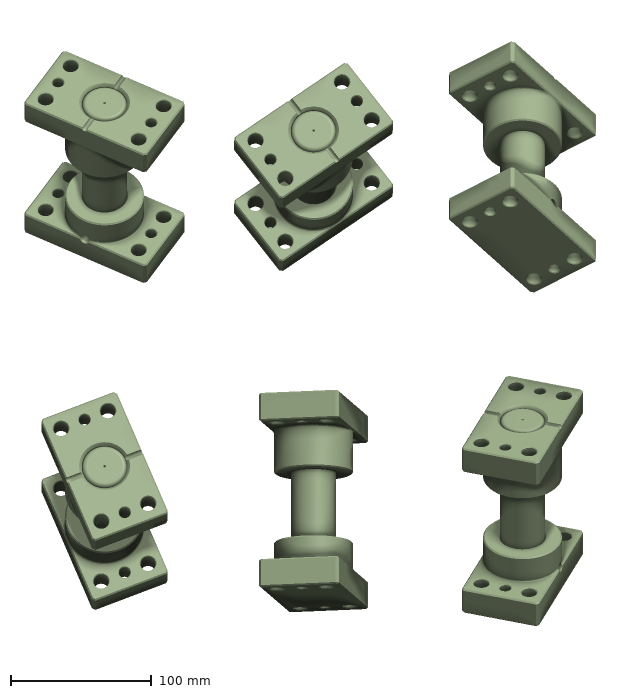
import cadquery as cq
import math

TOTAL_HEIGHT = 140.2
PLATE_LENGTH = 100.0
PLATE_WIDTH = 58.0

PLATE_THICKNESS = 20.0
EDGE_CHAMFER = 1.0
CORNER_CHAMFER = 2 * EDGE_CHAMFER

HUB_RADIUS = PLATE_WIDTH / 2 - EDGE_CHAMFER
LOWER_HUB_HEIGHT = PLATE_THICKNESS
UPPER_HUB_HEIGHT = 30.0
HUB_CHAMFER = EDGE_CHAMFER
ROOT_FILLET = EDGE_CHAMFER

PIN_RADIUS = 16.1
PIN_ROUNDING = 3.2
PIN_RECESS = 0.5
CENTRE_MARK_RADIUS = 1.0
CENTRE_MARK_ANGLE = 60.0
LOWER_BORE_CHAMFER = 0.7
UPPER_BORE_CHAMFER = 2.0

HOLE_OFFSET_X = 38.0
BOLT_OFFSET_Y = 18.0
BOLT_HOLE_RADIUS = 5.5
DOWEL_HOLE_RADIUS = 4.0
HOLE_CHAMFER = 0.5

VENT_GROOVE_RADIUS = 2.0
OIL_HOLE_RADIUS = 3.5


def cylinder(radius, z_low, z_high):
    return cq.Workplane("XY").workplane(offset=z_low).circle(radius).extrude(z_high - z_low)


def cone(radius_low, radius_high, z_low, height):
    return cq.Workplane(cq.Solid.makeCone(radius_low, radius_high, height, cq.Vector(0, 0, z_low)))


def chamfered_hole(radius):
    """Cutter for a hole through a plate, chamfered at both mouths."""
    mouth = radius + HOLE_CHAMFER
    cutter = cylinder(radius, 0, PLATE_THICKNESS)
    cutter = cutter.union(cone(mouth, radius, 0, HOLE_CHAMFER))
    return cutter.union(cone(radius, mouth, PLATE_THICKNESS - HOLE_CHAMFER, HOLE_CHAMFER))


def drilled_plate():
    """Chamfered plate on Z = 0 with its fixing holes."""
    plate = cq.Workplane("XY").box(
        PLATE_LENGTH, PLATE_WIDTH, PLATE_THICKNESS, centered=(True, True, False)
    )
    plate = plate.edges("|Z").chamfer(CORNER_CHAMFER)
    plate = plate.faces("<Z or >Z").chamfer(EDGE_CHAMFER)
    bolt_hole = chamfered_hole(BOLT_HOLE_RADIUS)
    dowel_hole = chamfered_hole(DOWEL_HOLE_RADIUS)
    for x in (-HOLE_OFFSET_X, HOLE_OFFSET_X):
        plate = plate.cut(dowel_hole.translate((x, 0, 0)))
        for y in (-BOLT_OFFSET_Y, BOLT_OFFSET_Y):
            plate = plate.cut(bolt_hole.translate((x, y, 0)))
    return plate


def hub(height):
    """Hub rising from the top of the plate, with a root fillet and a chamfered rim."""
    z_root = PLATE_THICKNESS
    z_rim = z_root + height
    diagonal = ROOT_FILLET * (1 - math.sqrt(0.5))
    profile = (
        cq.Workplane("XZ")
        .moveTo(0, z_root)
        .lineTo(HUB_RADIUS + ROOT_FILLET, z_root)
        .threePointArc((HUB_RADIUS + diagonal, z_root + diagonal), (HUB_RADIUS, z_root + ROOT_FILLET))
        .lineTo(HUB_RADIUS, z_rim - HUB_CHAMFER)
        .lineTo(HUB_RADIUS - HUB_CHAMFER, z_rim)
        .lineTo(0, z_rim)
        .close()
    )
    flat_top = cq.Workplane("XY").workplane(offset=z_root).rect(PLATE_LENGTH, 2 * HUB_RADIUS).extrude(height)
    return profile.revolve(360, (0, 0, 0), (0, 1, 0)).intersect(flat_top)


def flanged_hub(hub_height):
    """Plate at the bottom, hub on top, bored through for the pin."""
    bore = cylinder(PIN_RADIUS, 0, PLATE_THICKNESS + hub_height)
    return drilled_plate().union(hub(hub_height)).cut(bore)


def make_lower_flange():
    z_rim = PLATE_THICKNESS + LOWER_HUB_HEIGHT
    bore_chamfer = cone(
        PIN_RADIUS, PIN_RADIUS + LOWER_BORE_CHAMFER, z_rim - LOWER_BORE_CHAMFER, LOWER_BORE_CHAMFER
    )
    oil_hole = (
        cq.Workplane("XZ").center(0, PLATE_THICKNESS).circle(OIL_HOLE_RADIUS).extrude(PLATE_WIDTH / 2)
    )
    return flanged_hub(LOWER_HUB_HEIGHT).cut(bore_chamfer).cut(oil_hole)


def make_upper_flange():
    flange = flanged_hub(UPPER_HUB_HEIGHT).rotate((0, 0, 0), (1, 0, 0), 180)
    flange = flange.translate((0, 0, TOTAL_HEIGHT))
    bore_chamfer = cone(
        PIN_RADIUS, PIN_RADIUS + UPPER_BORE_CHAMFER, TOTAL_HEIGHT - UPPER_BORE_CHAMFER, UPPER_BORE_CHAMFER
    )
    vent_groove = (
        cq.Workplane("XZ")
        .center(0, TOTAL_HEIGHT)
        .circle(VENT_GROOVE_RADIUS)
        .extrude(PLATE_WIDTH / 2, both=True)
    )
    return flange.cut(bore_chamfer).cut(vent_groove)


def make_pin():
    """Plain pin, rounded at the top with a conical centre mark."""
    z_top = TOTAL_HEIGHT - PIN_RECESS
    mark_depth = CENTRE_MARK_RADIUS / math.tan(math.radians(CENTRE_MARK_ANGLE / 2))
    centre_mark = cone(0, CENTRE_MARK_RADIUS, z_top - mark_depth, mark_depth)
    pin = cylinder(PIN_RADIUS, 0, z_top).faces(">Z").edges().fillet(PIN_ROUNDING)
    return pin.cut(centre_mark)


lower_flange = make_lower_flange().solids()
upper_flange = make_upper_flange().solids()
pin = make_pin().solids()

result = cq.Compound.makeCompound([lower_flange.val(), upper_flange.val(), pin.val()])